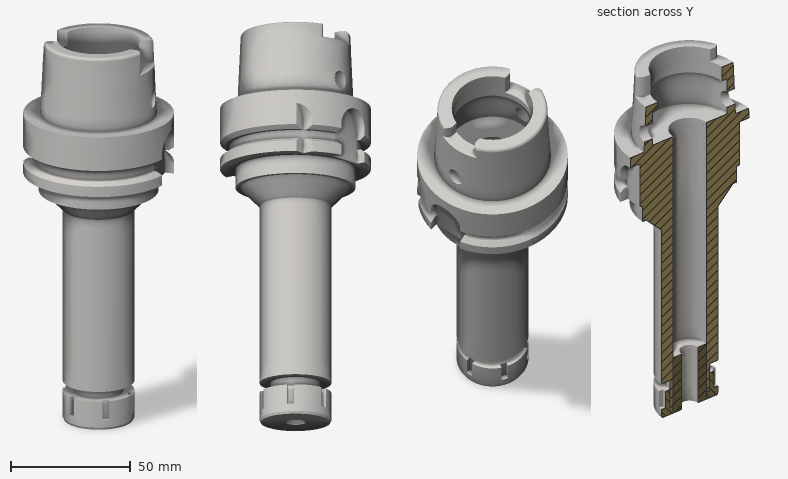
import cadquery as cq
import math

RIM_Z = 167.0
COLLAR_TOP = RIM_Z - 31.7
COLLAR_BOTTOM = RIM_Z - 58.1
SHOULDER_BOTTOM = RIM_Z - 66.0
CONE_BOTTOM = RIM_Z - 74.0
SHANK_BOTTOM = 16.9
NUT_TOP = 12.5

TAPER_BASE_R = 24.4
TAPER_RIM_R = 22.9
RIM_FILLET = 1.3
SOCKET_R = 17.0
SOCKET_DEPTH = 30.0
UNDERCUT_R = 19.7
UNDERCUT_DEPTH = 12.9
CROSS_HOLE_DIA = 7.5
CROSS_HOLE_Z = RIM_Z - 23.0

DRIVE_SLOT_WIDTH = 12.7
DRIVE_SLOT_ROUND = 3.3
DRIVE_SLOT_MOUTH_X = 21.2
SHALLOW_SLOT_DEPTH = 5.8
DEEP_SLOT_DEPTH = 9.9

COLLAR_R = 63.0 / 2
GROOVE_Z = RIM_Z - 50.1
GROOVE_R = 27.5
GROOVE_WIDTH = 4.0
GROOVE_CHAMFER_HEIGHT = 1.5
GROOVE_CHAMFER_INSET = 2.2
SHOULDER_R = 25.0

COLLAR_SLOT_WIDTH = 15.9
COLLAR_SLOT_TOP = RIM_Z - 36.7
KEYWAY_FLOOR_X = 26.5
NOTCH_FLOOR_X = 19.7
NOTCH_SIDE_Y = NOTCH_FLOOR_X

SHANK_R = 15.0
CONE_TOP_R = SHANK_R + SHOULDER_BOTTOM - CONE_BOTTOM
NOSE_R = 10.5
BORE_R = 8.9

NUT_R = SHANK_R
NUT_LIP = 3.3
NUT_CHAMFER_HEIGHT = 1.0
NUT_CHAMFER_INSET = 0.5
WRENCH_SLOTS = 6
WRENCH_SLOT_WIDTH = 2.8
WRENCH_SLOT_BOTTOM = 4.3
WRENCH_SLOT_FLOOR_R = 13.0

COLLET_LENGTH = 27.5
COLLET_BORE_R = 4.2


def turned(points):
    """Solid of revolution about Z from (radius, height) points."""
    return cq.Workplane("XZ").polyline(points).close().revolve(360, (0, 0, 0), (0, 1, 0))


def holder_blank():
    groove_bottom = GROOVE_Z - GROOVE_WIDTH / 2
    groove_top = GROOVE_Z + GROOVE_WIDTH / 2
    blank = turned([
        (0, NUT_LIP),
        (NOSE_R, NUT_LIP),
        (NOSE_R, SHANK_BOTTOM),
        (SHANK_R, SHANK_BOTTOM),
        (SHANK_R, CONE_BOTTOM),
        (CONE_TOP_R, SHOULDER_BOTTOM),
        (SHOULDER_R, SHOULDER_BOTTOM),
        (SHOULDER_R, COLLAR_BOTTOM),
        (COLLAR_R, COLLAR_BOTTOM),
        (COLLAR_R, groove_bottom - GROOVE_CHAMFER_HEIGHT),
        (COLLAR_R - GROOVE_CHAMFER_INSET, groove_bottom),
        (GROOVE_R, groove_bottom),
        (GROOVE_R, groove_top),
        (COLLAR_R - GROOVE_CHAMFER_INSET, groove_top),
        (COLLAR_R, groove_top + GROOVE_CHAMFER_HEIGHT),
        (COLLAR_R, COLLAR_TOP),
        (TAPER_BASE_R, COLLAR_TOP),
        (TAPER_RIM_R, RIM_Z),
        (0, RIM_Z),
    ])
    return blank.faces(">Z").edges().fillet(RIM_FILLET)


def socket_and_bore():
    """Rim bore, wider undercut below it and the long central bore."""
    floor_z = RIM_Z - SOCKET_DEPTH
    undercut_top = RIM_Z - UNDERCUT_DEPTH
    return turned([
        (0, NUT_LIP),
        (BORE_R, NUT_LIP),
        (BORE_R, floor_z),
        (UNDERCUT_R, floor_z),
        (UNDERCUT_R, undercut_top),
        (SOCKET_R, undercut_top),
        (SOCKET_R, RIM_Z),
        (0, RIM_Z),
    ])


def drive_slot(side, depth):
    """Slot through one side of the rim, with its mouth rounded outward."""
    half = DRIVE_SLOT_WIDTH / 2
    floor_z = RIM_Z - depth
    wide = half + DRIVE_SLOT_ROUND
    mouth_x = DRIVE_SLOT_MOUTH_X
    start_x = mouth_x - DRIVE_SLOT_ROUND
    arc_mid = DRIVE_SLOT_ROUND * math.sin(math.radians(45))
    slot = (
        cq.Workplane("XY", origin=(0, 0, floor_z))
        .moveTo(0, -half)
        .lineTo(start_x, -half)
        .threePointArc((start_x + arc_mid, -wide + arc_mid), (mouth_x, -wide))
        .lineTo(COLLAR_R, -wide)
        .lineTo(COLLAR_R, wide)
        .lineTo(mouth_x, wide)
        .threePointArc((start_x + arc_mid, wide - arc_mid), (start_x, half))
        .lineTo(0, half)
        .close()
        .extrude(depth)
    )
    return slot if side > 0 else slot.mirror("YZ")


def collar_slot(side, center_y, floor_x):
    """Round-topped slot open at the collar's lower face, milled along X."""
    radius = COLLAR_SLOT_WIDTH / 2
    center_z = COLLAR_SLOT_TOP - radius
    slot = (
        cq.Workplane("YZ", origin=(floor_x, 0, 0))
        .moveTo(center_y - radius, COLLAR_BOTTOM)
        .lineTo(center_y - radius, center_z)
        .threePointArc((center_y, COLLAR_SLOT_TOP), (center_y + radius, center_z))
        .lineTo(center_y + radius, COLLAR_BOTTOM)
        .close()
        .extrude(COLLAR_R)
    )
    return slot if side > 0 else slot.mirror("YZ")


def make_holder():
    holder = holder_blank().cut(socket_and_bore())
    cross_hole = (
        cq.Workplane("YZ", origin=(0, 0, CROSS_HOLE_Z))
        .circle(CROSS_HOLE_DIA / 2)
        .extrude(COLLAR_R, both=True)
    )
    holder = holder.cut(cross_hole)
    holder = holder.cut(drive_slot(-1, SHALLOW_SLOT_DEPTH))
    holder = holder.cut(drive_slot(1, DEEP_SLOT_DEPTH))
    for side in (-1, 1):
        holder = holder.cut(collar_slot(side, 0, KEYWAY_FLOOR_X))
    notch_y = NOTCH_SIDE_Y + COLLAR_SLOT_WIDTH / 2
    return holder.cut(collar_slot(-1, notch_y, NOTCH_FLOOR_X))


def make_nut():
    """Ring around the holder's nose, with a lip around the collet."""
    nut = turned([
        (BORE_R, 0),
        (NUT_R - NUT_CHAMFER_INSET, 0),
        (NUT_R, NUT_CHAMFER_HEIGHT),
        (NUT_R, NUT_TOP),
        (NOSE_R, NUT_TOP),
        (NOSE_R, NUT_LIP),
        (BORE_R, NUT_LIP),
    ])
    wrench_slot = (
        cq.Workplane("XY", origin=(WRENCH_SLOT_FLOOR_R, 0, WRENCH_SLOT_BOTTOM))
        .box(NUT_R, WRENCH_SLOT_WIDTH, NUT_TOP - WRENCH_SLOT_BOTTOM, centered=(False, True, False))
    )
    for index in range(WRENCH_SLOTS):
        nut = nut.cut(wrench_slot.rotate((0, 0, 0), (0, 0, 1), index * 360 / WRENCH_SLOTS))
    return nut


def make_collet():
    """Sleeve filling the lower end of the bore, flush with the nut's lower face."""
    return cq.Workplane("XY").circle(BORE_R).circle(COLLET_BORE_R).extrude(COLLET_LENGTH)


holder = make_holder()
nut = make_nut()
collet = make_collet()

result = cq.Compound.makeCompound([holder.val(), nut.val(), collet.val()])